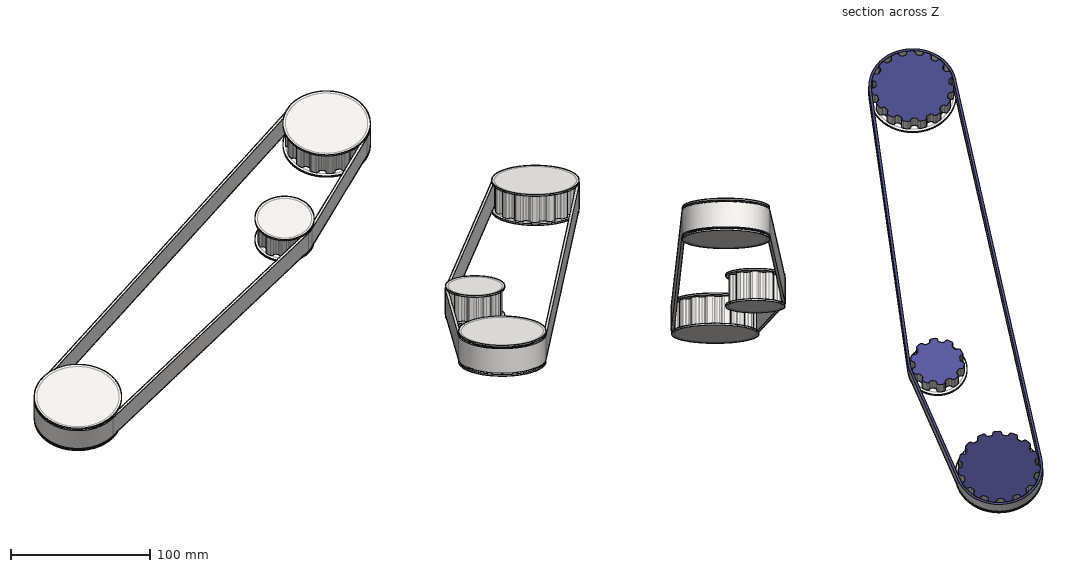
import cadquery as cq
import math

TOTAL_X = 148.7
TOTAL_Y = 374.5
TOTAL_Z = 23.5

BELT_THICKNESS = 2.05
BELT_WIDTH = 18.7

LARGE_TIP_RADIUS = 29.5
SMALL_TIP_RADIUS = 19.5
LARGE_TEETH = 15
SMALL_TEETH = 10
IDLER_OFFSET_X = 0.6
IDLER_OFFSET_Y = -98.0

GAP_DEPTH = 3.0
GAP_FLOOR_WIDTH = 4.0
GAP_FLANK_ANGLE = 20
GAP_FILLET = 1.6
FIRST_GAP_ANGLE = 90

FLANGE_OVERHANG = 2.0
FLANGE_RISE = 0.5
FLANGE_THICKNESS = 1.3

belt_end_radius = LARGE_TIP_RADIUS + BELT_THICKNESS
lower_centre = (0.0, 0.0)
upper_centre = (TOTAL_X - 2 * belt_end_radius, TOTAL_Y - 2 * belt_end_radius)
idler_centre = (upper_centre[0] + IDLER_OFFSET_X, upper_centre[1] + IDLER_OFFSET_Y)

rim_top = TOTAL_Z / 2
disc_top = rim_top - FLANGE_RISE
disc_bottom = disc_top - FLANGE_THICKNESS
rim_bottom = rim_top - FLANGE_THICKNESS


def make_toothed_body(tip_radius, teeth):
    """Cylinder between the flanges with one tooth gap cut per pitch."""
    root_radius = tip_radius - GAP_DEPTH
    cut_depth = 2 * GAP_DEPTH
    floor_half = GAP_FLOOR_WIDTH / 2
    mouth_half = floor_half + cut_depth * math.tan(math.radians(GAP_FLANK_ANGLE))
    gap = (
        cq.Workplane("XY")
        .moveTo(root_radius, -floor_half)
        .lineTo(root_radius + cut_depth, -mouth_half)
        .lineTo(root_radius + cut_depth, mouth_half)
        .lineTo(root_radius, floor_half)
        .close()
        .extrude(disc_bottom, both=True)
    )
    body = cq.Workplane("XY").circle(tip_radius).extrude(disc_bottom, both=True)
    for index in range(teeth):
        body = body.cut(gap.rotate((0, 0, 0), (0, 0, 1), index * 360 / teeth))
    body = body.edges("|Z").fillet(GAP_FILLET)
    return body.rotate((0, 0, 0), (0, 0, 1), FIRST_GAP_ANGLE)


def make_top_flange(tip_radius):
    """Flat disc over the teeth with a conical rim rising outward."""
    rim_radius = tip_radius + FLANGE_OVERHANG
    return (
        cq.Workplane("XZ")
        .moveTo(0, disc_bottom)
        .lineTo(tip_radius, disc_bottom)
        .lineTo(rim_radius, rim_bottom)
        .lineTo(rim_radius, rim_top)
        .lineTo(tip_radius, disc_top)
        .lineTo(0, disc_top)
        .close()
        .revolve(360, (0, 0, 0), (0, 1, 0))
    )


def make_pulley(centre, tip_radius, teeth):
    """Toothed body closed by a flange at each end."""
    top_flange = make_top_flange(tip_radius)
    bottom_flange = top_flange.mirror("XY")
    pulley = make_toothed_body(tip_radius, teeth).union(top_flange).union(bottom_flange)
    return pulley.translate((centre[0], centre[1], 0))


def point_on_circle(centre, radius, angle):
    return (centre[0] + radius * math.cos(angle), centre[1] + radius * math.sin(angle))


def make_loop(clearance):
    """Solid inside a loop stretched around the pulleys, at a clearance from the tooth tips."""
    wheels = [
        (lower_centre, LARGE_TIP_RADIUS + clearance),
        (idler_centre, SMALL_TIP_RADIUS + clearance),
        (upper_centre, LARGE_TIP_RADIUS + clearance),
    ]
    run_angles = []
    for index, (centre, radius) in enumerate(wheels):
        next_centre, next_radius = wheels[(index + 1) % len(wheels)]
        span_x = next_centre[0] - centre[0]
        span_y = next_centre[1] - centre[1]
        lean = math.acos((radius - next_radius) / math.hypot(span_x, span_y))
        run_angles.append(math.atan2(span_y, span_x) - lean)

    loop = cq.Workplane("XY").moveTo(*point_on_circle(*wheels[-1], run_angles[-1]))
    for index, wheel in enumerate(wheels):
        arc_start = run_angles[index - 1]
        arc_end = run_angles[index]
        arc_middle = arc_start + (arc_end - arc_start) % (2 * math.pi) / 2
        loop = loop.lineTo(*point_on_circle(*wheel, arc_start)).threePointArc(
            point_on_circle(*wheel, arc_middle), point_on_circle(*wheel, arc_end)
        )
    return loop.close().extrude(BELT_WIDTH / 2, both=True)


belt = make_loop(BELT_THICKNESS).cut(make_loop(0))
lower_pulley = make_pulley(lower_centre, LARGE_TIP_RADIUS, LARGE_TEETH)
upper_pulley = make_pulley(upper_centre, LARGE_TIP_RADIUS, LARGE_TEETH)
idler_pulley = make_pulley(idler_centre, SMALL_TIP_RADIUS, SMALL_TEETH)

result = cq.Compound.makeCompound(
    [belt.val(), lower_pulley.val(), upper_pulley.val(), idler_pulley.val()]
)